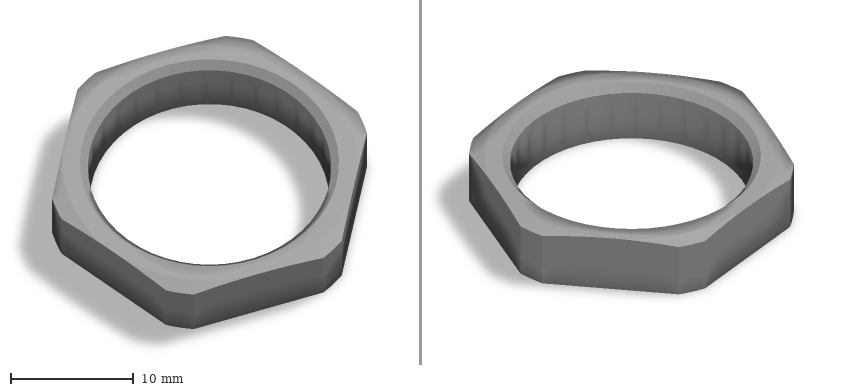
import cadquery as cq
import math

corner_diameter = 26.5
across_flats = 24.0
height = 5.0
bore_base_diameter = 19.5
bore_top_diameter = 19.81
countersink_diameter = 21.09
countersink_angle = 45.0
crown_angle = 15.0

corner_radius = corner_diameter / 2
crown_radius = across_flats / 2
bore_base_radius = bore_base_diameter / 2
bore_top_radius = bore_top_diameter / 2
countersink_radius = countersink_diameter / 2
crown_drop = (corner_radius - crown_radius) * math.tan(math.radians(crown_angle))
countersink_depth = (countersink_radius - bore_top_radius) * math.tan(math.radians(countersink_angle))


def hexagon_prism():
    """Hexagon with corners on the X axis and flats facing Y."""
    across_corners = across_flats / math.cos(math.pi / 6)
    return cq.Workplane("XY").polygon(6, across_corners).extrude(height)


def turned_ring():
    """Ring with a crowned top edge and a tapered bore countersunk at the top."""
    return (
        cq.Workplane("XZ")
        .moveTo(bore_base_radius, 0)
        .lineTo(corner_radius, 0)
        .lineTo(corner_radius, height - crown_drop)
        .lineTo(crown_radius, height)
        .lineTo(countersink_radius, height)
        .lineTo(bore_top_radius, height - countersink_depth)
        .close()
        .revolve(360, (0, 0, 0), (0, 1, 0))
    )


result = hexagon_prism().intersect(turned_ring())